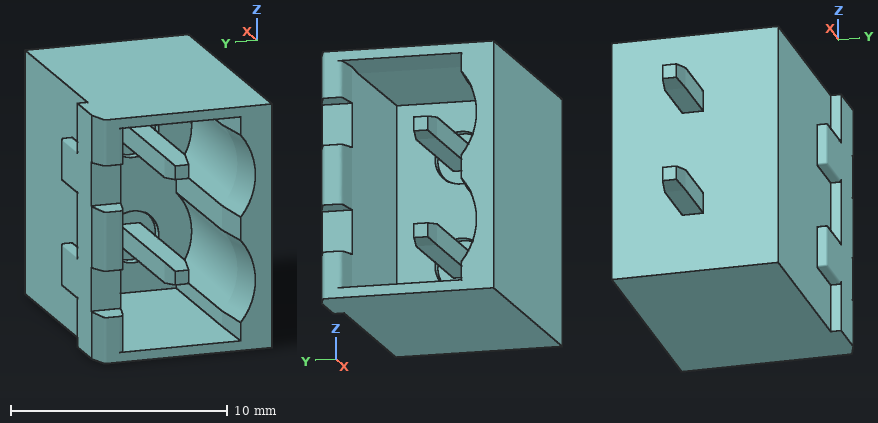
import cadquery as cq
import math


POLES = 2
PITCH = 5.08
BODY_LENGTH = 12.0
BODY_DEPTH = 8.0
BODY_HEIGHT = 11.76
MID_Z = BODY_HEIGHT / 2

LIP_RISE = 0.5
LIP_LENGTH = 3.0
LIP_RAMP_LENGTH = 0.9
LIP_RAMP_DROP = 0.32
LIP_NOSE_RADIUS = 0.15
LIP_TOP = BODY_DEPTH + LIP_RISE

RIB_LENGTH = 2.3
RIB_WIDTH = 2.05
RIB_EDGE_RADIUS = 0.1

PIN_Y = 3.9
PIN_SIDE = 1.0
PIN_TIP_SIDE = 0.66
PIN_TAPER = 1.0
PIN_START_X = 1.5
PIN_END_X = 16.0

CAVITY_DEPTH = 8.5
DRAFT_LENGTH = 2.0
MOUTH_WALL = 0.48
INNER_WALL = 0.65
MOUTH_FLAT_Y = 1.54
INNER_FLAT_Y = 1.78
MOUTH_SCALLOP_RADIUS = 3.08
INNER_SCALLOP_RADIUS = 2.88
BORE_TAPER = 0.02

MOUTH_UPPER_Y = 7.45
LEAD_ROUND_END = (0.2, 7.23)
LEAD_RAMP_END = (1.0, 7.06)
FLOOR_UPPER_Y = 6.98

SLOT_DEPTH = 1.0
SLOT_MOUTH_WIDTH = 2.24
SLOT_FLOOR_WIDTH = 2.1

RECESS_RADIUS = 1.25
RECESS_DEPTH = 0.5

POLE_Z = [MID_Z + (i - (POLES - 1) / 2) * PITCH for i in range(POLES)]


def make_housing():
    """Block with the ramped lip, extruded over the full height."""
    housing = (
        cq.Workplane("XY")
        .moveTo(0, 0)
        .lineTo(BODY_LENGTH, 0)
        .lineTo(BODY_LENGTH, BODY_DEPTH)
        .lineTo(LIP_LENGTH, BODY_DEPTH)
        .lineTo(LIP_LENGTH, LIP_TOP)
        .lineTo(LIP_RAMP_LENGTH, LIP_TOP)
        .lineTo(0, LIP_TOP - LIP_RAMP_DROP)
        .close()
        .extrude(BODY_HEIGHT)
    )
    nose_edge = cq.selectors.NearestToPointSelector((0, LIP_TOP - LIP_RAMP_DROP, MID_Z))
    return housing.edges(nose_edge).fillet(LIP_NOSE_RADIUS)


def make_rib(z):
    """Rib joining the back of the lip to the +Y face, rounded on every free edge."""
    rib = cq.Workplane("XY").box(RIB_LENGTH, LIP_RISE, RIB_WIDTH, centered=(False, False, True))
    rib = rib.edges("not (<X or <Y)").fillet(RIB_EDGE_RADIUS)
    return rib.translate((LIP_LENGTH, BODY_DEPTH, z))


def scalloped_outline(plane, wall, flat_y, radius):
    """Cavity section with one round scallop per pole on its -Y side, open past the lip on +Y."""
    half_chord = math.sqrt(radius**2 - (PIN_Y - flat_y) ** 2)
    outline = plane.moveTo(LIP_TOP, wall).lineTo(flat_y, wall)
    for z in POLE_Z:
        outline = outline.lineTo(flat_y, z - half_chord)
        outline = outline.threePointArc((PIN_Y - radius, z), (flat_y, z + half_chord))
    return outline.lineTo(flat_y, BODY_HEIGHT - wall).lineTo(LIP_TOP, BODY_HEIGHT - wall).close()


def make_cavity():
    """Strongly drafted entry and slightly drafted bore, limited on +Y by the lead-in profile."""
    mouth = scalloped_outline(cq.Workplane("YZ"), MOUTH_WALL, MOUTH_FLAT_Y, MOUTH_SCALLOP_RADIUS)
    entry = scalloped_outline(
        mouth.workplane(offset=DRAFT_LENGTH), INNER_WALL, INNER_FLAT_Y, INNER_SCALLOP_RADIUS
    ).loft(ruled=True)

    bore_start = scalloped_outline(
        cq.Workplane("YZ", origin=(DRAFT_LENGTH, 0, 0)), INNER_WALL, INNER_FLAT_Y, INNER_SCALLOP_RADIUS
    )
    bore = scalloped_outline(
        bore_start.workplane(offset=CAVITY_DEPTH - DRAFT_LENGTH),
        INNER_WALL + BORE_TAPER,
        INNER_FLAT_Y + BORE_TAPER,
        INNER_SCALLOP_RADIUS - BORE_TAPER,
    ).loft(ruled=True)

    ramp_direction = (LEAD_RAMP_END[0] - LEAD_ROUND_END[0], LEAD_RAMP_END[1] - LEAD_ROUND_END[1])
    mouth_direction = (0, -1)
    lead_in = (
        cq.Workplane("XY")
        .moveTo(0, 0)
        .lineTo(0, MOUTH_UPPER_Y)
        .spline([LEAD_ROUND_END], tangents=[mouth_direction, ramp_direction], includeCurrent=True)
        .lineTo(*LEAD_RAMP_END)
        .lineTo(CAVITY_DEPTH, FLOOR_UPPER_Y)
        .lineTo(CAVITY_DEPTH, 0)
        .close()
        .extrude(BODY_HEIGHT)
    )
    return entry.union(bore).intersect(lead_in)


def make_slot(z):
    """Coding slot through the lip, narrowing from the mouth to its floor."""
    slot_bottom_y = LEAD_RAMP_END[1]
    return (
        cq.Workplane("XZ", origin=(0, LIP_TOP, z))
        .moveTo(0, -SLOT_MOUTH_WIDTH / 2)
        .lineTo(SLOT_DEPTH, -SLOT_FLOOR_WIDTH / 2)
        .lineTo(SLOT_DEPTH, SLOT_FLOOR_WIDTH / 2)
        .lineTo(0, SLOT_MOUTH_WIDTH / 2)
        .close()
        .extrude(LIP_TOP - slot_bottom_y)
    )


def make_recess(z):
    """Round recess in the cavity floor."""
    floor = cq.Workplane("YZ", origin=(CAVITY_DEPTH, PIN_Y, z))
    return floor.circle(RECESS_RADIUS).extrude(RECESS_DEPTH)


def make_pin(z):
    """Square pin with a tapered tip at both ends."""
    shank_start = PIN_START_X + PIN_TAPER
    shank_end = PIN_END_X - PIN_TAPER

    def section(x):
        return cq.Workplane("YZ", origin=(x, PIN_Y, z))

    pin = section(shank_start).rect(PIN_SIDE, PIN_SIDE).extrude(shank_end - shank_start)
    for shank_x, reach in ((shank_start, -PIN_TAPER), (shank_end, PIN_TAPER)):
        tip = (
            section(shank_x)
            .rect(PIN_SIDE, PIN_SIDE)
            .workplane(offset=reach)
            .rect(PIN_TIP_SIDE, PIN_TIP_SIDE)
            .loft(ruled=True)
        )
        pin = pin.union(tip)
    return pin


result = make_housing().cut(make_cavity())
for pole_z in POLE_Z:
    result = result.cut(make_slot(pole_z)).cut(make_recess(pole_z))
    result = result.union(make_rib(pole_z)).union(make_pin(pole_z))